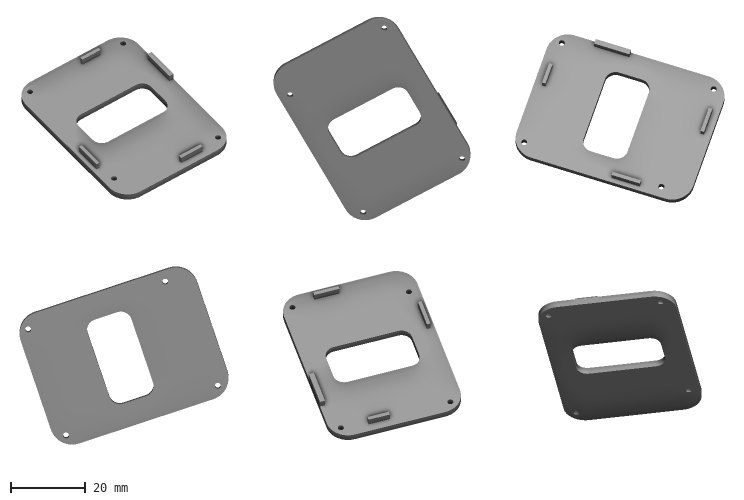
import cadquery as cq

length = 49.85
width = 37.45
thickness = 2.0
corner_radius = 6.0

window_length = 12.35
window_width = 24.1
window_radius = 3.0
window_center = (-1.1, 0.15)

hole_diameter = 1.6
hole_centers = [
    (-21.6, 15.55),
    (21.25, 15.65),
    (-22.05, -15.05),
    (16.9, -15.7),
]

rib_height = 2.0
rib_thickness = 1.0
back_rib_length = 9.95
back_rib_thickness = 1.4
back_rib_x = -8.05
front_rib_length = 7.95
front_rib_center = (7.45, -17.0)
left_rib_length = 6.0
left_rib_center = (-22.25, 5.15)
right_rib_length = 7.1
right_rib_center = (22.5, 5.75)


def make_plate():
    plate = cq.Workplane("XY").box(length, width, thickness, centered=(True, True, False))
    return plate.edges("|Z").fillet(corner_radius)


def make_window():
    window = (
        cq.Workplane("XY")
        .center(*window_center)
        .box(window_length, window_width, thickness, centered=(True, True, False))
    )
    return window.edges("|Z").fillet(window_radius)


def make_holes():
    return cq.Workplane("XY").pushPoints(hole_centers).circle(hole_diameter / 2).extrude(thickness)


def make_rib(size_x, size_y, center):
    """Rectangular rib from the plate underside to the rib top, so that it fuses with the plate."""
    return cq.Workplane("XY").center(*center).rect(size_x, size_y).extrude(thickness + rib_height)


back_rib_center = (back_rib_x, (width - back_rib_thickness) / 2)

result = make_plate().cut(make_window()).cut(make_holes())
result = result.union(make_rib(back_rib_length, back_rib_thickness, back_rib_center))
result = result.union(make_rib(front_rib_length, rib_thickness, front_rib_center))
result = result.union(make_rib(rib_thickness, left_rib_length, left_rib_center))
result = result.union(make_rib(rib_thickness, right_rib_length, right_rib_center))